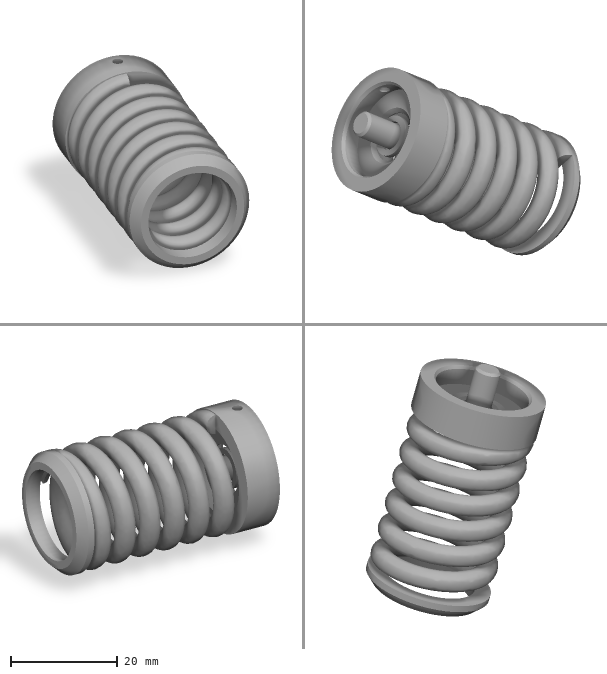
import cadquery as cq

LENGTH = 47.0

HOUSING_DIAMETER = 24.5
HOUSING_LENGTH = 6.95
HOUSING_START = 4.0
HOUSING_END = HOUSING_START + HOUSING_LENGTH
RECESS_DIAMETER = 18.2
RECESS_DEPTH = 3.75
RECESS_CHAMFER_HEIGHT = 0.4
RECESS_CHAMFER_LENGTH = 0.6
FLOOR_THICKNESS = 1.0
BACK_RECESS_DIAMETER = 17.75
FLOOR_HOLE_DIAMETER = 9.5
FLOOR_HOLE_CHAMFER = 0.75
FLOOR_START = HOUSING_START + RECESS_DEPTH
FLOOR_END = FLOOR_START + FLOOR_THICKNESS
SIDE_HOLE_DIAMETER = 2.0
SIDE_HOLE_SETBACK = 2.25

PIN_DIAMETER = 5.0
PIN_END = HOUSING_END
PIN_CHAMFER = 0.45
SLEEVE_OUTER_DIAMETER = 8.0
SLEEVE_INNER_DIAMETER = 5.6
SLEEVE_START = FLOOR_START
SLEEVE_END = FLOOR_END

PLATE_DIAMETER = 24.0
PLATE_THICKNESS = 3.0
PLATE_RIM = 1.25
PLATE_CHAMFER_HEIGHT = 1.65
PLATE_BORE_DIAMETER = 17.75
PLATE_START = LENGTH - PLATE_THICKNESS

SPRING_OUTER_DIAMETER = PLATE_DIAMETER
WIRE_DIAMETER = 4.0
COIL_RADIUS = (SPRING_OUTER_DIAMETER - WIRE_DIAMETER) / 2
SPRING_TURNS = 6.2
SPRING_LENGTH = PLATE_START - HOUSING_END


def rod(diameter, start, end):
    """Solid cylinder along X between two stations."""
    return cq.Workplane("YZ", origin=(start, 0, 0)).circle(diameter / 2).extrude(end - start)


def make_housing():
    """Revolved ring, recessed on both faces of its floor, with a radial hole through the top of its wall."""
    outer = HOUSING_DIAMETER / 2
    recess = RECESS_DIAMETER / 2
    back_recess = BACK_RECESS_DIAMETER / 2
    hole = FLOOR_HOLE_DIAMETER / 2
    ring = (
        cq.Workplane("XY")
        .moveTo(HOUSING_START, outer)
        .lineTo(HOUSING_END, outer)
        .lineTo(HOUSING_END, back_recess)
        .lineTo(FLOOR_END, back_recess)
        .lineTo(FLOOR_END, hole)
        .lineTo(FLOOR_START + FLOOR_HOLE_CHAMFER, hole)
        .lineTo(FLOOR_START, hole + FLOOR_HOLE_CHAMFER)
        .lineTo(FLOOR_START, recess)
        .lineTo(HOUSING_START + RECESS_CHAMFER_LENGTH, recess)
        .lineTo(HOUSING_START, recess + RECESS_CHAMFER_HEIGHT)
        .close()
        .revolve(360, (0, 0, 0), (1, 0, 0))
    )
    side_hole = (
        cq.Workplane("XY", origin=(HOUSING_START + SIDE_HOLE_SETBACK, 0, 0))
        .circle(SIDE_HOLE_DIAMETER / 2)
        .extrude(outer)
    )
    return ring.cut(side_hole)


def make_pin():
    return rod(PIN_DIAMETER, 0, PIN_END).faces("<X").chamfer(PIN_CHAMFER)


def make_sleeve():
    bore = rod(SLEEVE_INNER_DIAMETER, SLEEVE_START, SLEEVE_END)
    return rod(SLEEVE_OUTER_DIAMETER, SLEEVE_START, SLEEVE_END).cut(bore)


def make_spring():
    """Right-handed coil from the top of the housing, trimmed to the gap it fills."""
    pitch = SPRING_LENGTH / SPRING_TURNS
    path = cq.Workplane(obj=cq.Wire.makeHelix(pitch, SPRING_LENGTH, COIL_RADIUS))
    coil = (
        cq.Workplane("XZ", origin=(COIL_RADIUS, 0, 0))
        .circle(WIRE_DIAMETER / 2)
        .sweep(path, isFrenet=True)
        .rotate((0, 0, 0), (0, 1, 0), 90)
        .rotate((0, 0, 0), (1, 0, 0), 180)
        .translate((HOUSING_END, 0, 0))
    )
    return coil.intersect(rod(2 * SPRING_OUTER_DIAMETER, HOUSING_END, PLATE_START))


def make_plate():
    """Bored disc with a conical edge on its outer face."""
    outer = PLATE_DIAMETER / 2
    bore = PLATE_BORE_DIAMETER / 2
    return (
        cq.Workplane("XY")
        .moveTo(PLATE_START, bore)
        .lineTo(PLATE_START, outer)
        .lineTo(PLATE_START + PLATE_RIM, outer)
        .lineTo(LENGTH, outer - PLATE_CHAMFER_HEIGHT)
        .lineTo(LENGTH, bore)
        .close()
        .revolve(360, (0, 0, 0), (1, 0, 0))
    )


housing = make_housing()
pin = make_pin()
sleeve = make_sleeve()
spring = make_spring()
plate = make_plate()

result = cq.Compound.makeCompound(
    [housing.val(), pin.val(), sleeve.val(), *spring.solids().vals(), plate.val()]
)